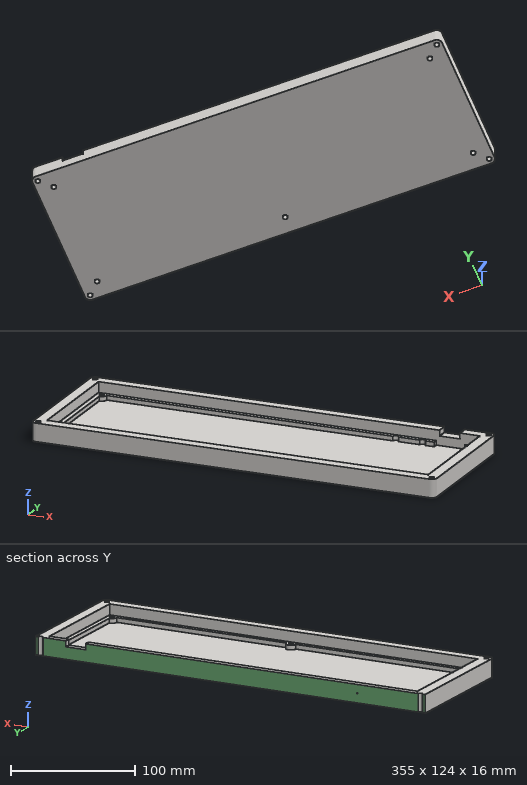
import cadquery as cq

length = 355.0
width = 124.0
height = 16.0
corner_radius = 4.5

wall = 10.0
ledge_width = 4.3
floor_thickness = 3.0
ledge_height = 4.0
ledge_top = floor_thickness + ledge_height

hole_diameter = 4.0
case_hole_inset = 4.5
board_hole_inset = 14.5
boss_radius = 4.3

notch_left = 309.5
notch_right = 327.3
notch_depth = 5.0
gap_left = 306.7
gap_right = 332.0

relief_radius = 2.5
relief_positions = (273.0, 296.5)

pocket_right = length - wall
pocket_back = width - wall
floor_inset = wall + ledge_width
floor_right = length - floor_inset
floor_back = width - floor_inset


def box(x_min, x_max, y_min, y_max, z_min, z_max):
    """Axis-aligned block between the given limits."""
    size = (x_max - x_min, y_max - y_min, z_max - z_min)
    return cq.Workplane("XY").box(*size, centered=False).translate((x_min, y_min, z_min))


def cylinders(points, radius, z_min, z_max):
    """Vertical cylinders of one radius at every point."""
    return cq.Workplane("XY", origin=(0, 0, z_min)).pushPoints(points).circle(radius).extrude(z_max - z_min)


def corner_points(inset):
    """Four points at the same inset from the outer sides."""
    return [(x, y) for x in (inset, length - inset) for y in (inset, width - inset)]


board_points = corner_points(board_hole_inset) + [(length / 2, board_hole_inset)]


def make_case():
    """Rounded block with the main pocket cut down to the ledge."""
    block = box(0, length, 0, width, 0, height).edges("|Z").fillet(corner_radius)
    return block.cut(box(wall, pocket_right, wall, pocket_back, ledge_top, height))


def make_floor_recess():
    """Space inside the ledge, reaching the back wall at the gap."""
    recess = box(floor_inset, floor_right, floor_inset, floor_back, floor_thickness, ledge_top)
    reliefs = cylinders([(x, floor_back) for x in relief_positions], relief_radius, floor_thickness, ledge_top)
    bosses = cylinders(board_points, boss_radius, floor_thickness, ledge_top)
    gap = (
        cq.Workplane("XY", origin=(0, 0, floor_thickness))
        .moveTo(gap_left, floor_back)
        .lineTo(gap_left, pocket_back)
        .lineTo(gap_right, pocket_back)
        .lineTo(floor_right - boss_radius, floor_back)
        .close()
        .extrude(ledge_height)
    )
    return recess.union(reliefs).union(gap).cut(bosses)


def make_notch():
    """Cable notch, open at the top of the back wall."""
    return box(notch_left, notch_right, pocket_back, width, height - notch_depth, height)


holes = cylinders(corner_points(case_hole_inset) + board_points, hole_diameter / 2, 0, height)
result = make_case().cut(make_floor_recess()).cut(make_notch()).cut(holes)